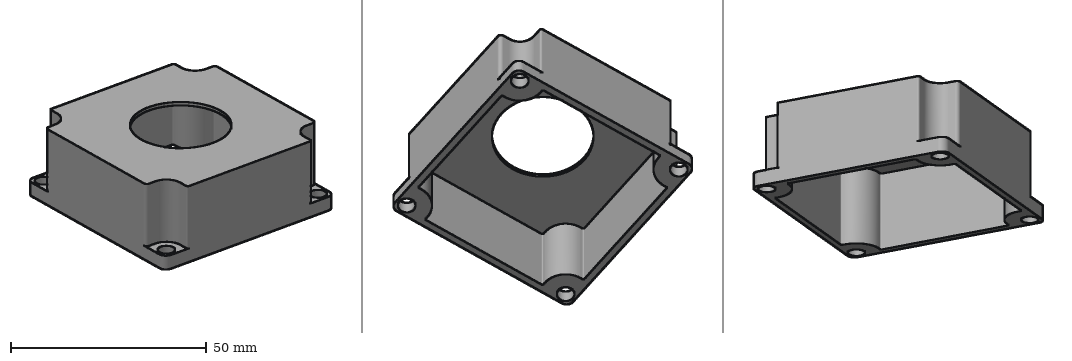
import cadquery as cq

side = 56.0
height = 21.9
flange_thickness = 4.0
wall = 2.0
roof = 1.0
opening_diameter = 26.0
screw_hole_diameter = 4.5
screw_hole_inset = 3.0
relief_radius = 4.5
flange_corner_radius = 2.0
x_wall_edge_radius = 0.5
y_wall_edge_radius = 1.0
cavity_edge_radius = 0.3

half_side = side / 2
hole_offset = half_side - screw_hole_inset
relief_reach = screw_hole_inset + relief_radius
corners = [(sx, sy) for sx in (-1, 1) for sy in (-1, 1)]
hole_centers = [(sx * hole_offset, sy * hole_offset) for sx, sy in corners]


def corner_block(sx, sy, reach, radius, base, top):
    """Square corner prism whose inward vertical edge is rounded."""
    center = half_side - reach / 2
    return (
        cq.Workplane("XY", origin=(sx * center, sy * center, base))
        .rect(reach, reach)
        .extrude(top - base)
        .edges(cq.selectors.NearestToPointSelector(
            (sx * (half_side - reach), sy * (half_side - reach), (base + top) / 2)))
        .fillet(radius)
    )


def round_relief_edges(solid, outer, inner, z, x_wall_radius, y_wall_radius):
    """Round the vertical edges where the corner reliefs meet the flat walls.

    The walls lie at +-outer and the straight sides of the reliefs at +-inner;
    z is a height on the edges.
    """
    for sx, sy in corners:
        x_wall_edge = cq.selectors.NearestToPointSelector((sx * outer, sy * inner, z))
        solid = solid.edges(x_wall_edge).fillet(x_wall_radius)
        y_wall_edge = cq.selectors.NearestToPointSelector((sx * inner, sy * outer, z))
        solid = solid.edges(y_wall_edge).fillet(y_wall_radius)
    return solid


def make_body():
    """Square block with a relief above the flange at every corner."""
    body = cq.Workplane("XY").rect(side, side).extrude(height)
    body = body.edges("|Z").fillet(flange_corner_radius)
    for sx, sy in corners:
        body = body.cut(corner_block(sx, sy, relief_reach, relief_radius, flange_thickness, height))
    return round_relief_edges(
        body, half_side, half_side - relief_reach, (flange_thickness + height) / 2,
        x_wall_edge_radius, y_wall_edge_radius)


def make_cavity():
    """Space open at the bottom, following the walls and the corner reliefs."""
    half_cavity = half_side - wall
    cavity_height = height - roof
    post_reach = relief_reach + wall
    post_radius = relief_radius + wall
    cavity = cq.Workplane("XY").rect(2 * half_cavity, 2 * half_cavity).extrude(cavity_height)
    for sx, sy in corners:
        cavity = cavity.cut(corner_block(sx, sy, post_reach, post_radius, 0, cavity_height))
    return round_relief_edges(
        cavity, half_cavity, half_side - post_reach, cavity_height / 2,
        cavity_edge_radius, cavity_edge_radius)


opening = cq.Workplane("XY").circle(opening_diameter / 2).extrude(height)
screw_holes = (
    cq.Workplane("XY")
    .pushPoints(hole_centers)
    .circle(screw_hole_diameter / 2)
    .extrude(flange_thickness)
)

result = make_body().cut(make_cavity()).cut(opening).cut(screw_holes)